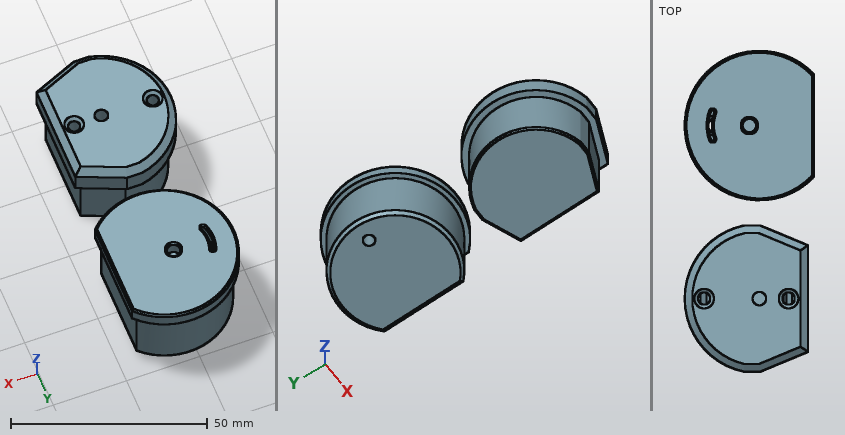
import cadquery as cq
import math

OVERALL_LENGTH = 81.7
OVERALL_WIDTH = 32.9
PIVOT_DIAMETER = 3.4
SMALL_CHAMFER = 0.5

FACETED_RADIUS = 19.05
FACETED_HALF_WIDTH = 18.6
TAPER_START_X = 0.25
TAPER_END_X = 12.4
TAPER_END_HALF_WIDTH = 13.6
FACETED_LID_HEIGHT = 7.4
FACETED_HEIGHT = 24.4
FACETED_RIM_CHAMFER = 2.0
FACETED_OVERHANG = 2.0
SCREW_DIAMETER = 3.1
SCREW_HEAD_DIAMETER = 5.0
REAR_SCREW_X = -14.05
FRONT_SCREW_X = 7.4
TROUGH_LENGTH = 4.1
TROUGH_DEPTH = 1.5
REAR_TROUGH = (-15.0, -13.5, -12.1)
FRONT_TROUGH = (6.1, 6.9, 8.3)

ROUND_DIAMETER = 38.1
ROUND_RADIUS = ROUND_DIAMETER / 2
ROUND_Y = OVERALL_LENGTH - FACETED_HALF_WIDTH - ROUND_RADIUS
ROUND_FLAT_X = OVERALL_WIDTH - ROUND_RADIUS
ROUND_LID_HEIGHT = 4.0
ROUND_HEIGHT = 22.5
ROUND_OVERHANG = 1.5
ROUND_BASE_CHAMFER = 1.0
ROUND_PIVOT_X = -2.5
SLOT_WIDTH = 0.9
SLOT_RADIUS = 10.0
SLOT_HALF_ANGLE = 20.0
BOSS_X = -11.5
BOSS_HOLE_DIAMETER = 3.2
BOSS_TOP_DIAMETER = 3.4
BOSS_FOOT_DIAMETER = 5.0
BOSS_HEIGHT = (BOSS_FOOT_DIAMETER - BOSS_TOP_DIAMETER) / 2
BOSS_POCKET_DIAMETER = 9.4


def cone(x, y, bottom_z, bottom_diameter, top_diameter, height):
    """Truncated cone standing on bottom_z."""
    return (
        cq.Workplane("XY", origin=(x, y, bottom_z))
        .circle(bottom_diameter / 2)
        .workplane(offset=height)
        .circle(top_diameter / 2)
        .loft()
    )


def faceted_outline(top_z):
    """Rear arc, two side flats, two tapers and a front flat."""
    arc_end_x = -math.sqrt(FACETED_RADIUS**2 - FACETED_HALF_WIDTH**2)
    return (
        cq.Workplane("XY", origin=(0, 0, top_z))
        .moveTo(arc_end_x, -FACETED_HALF_WIDTH)
        .lineTo(TAPER_START_X, -FACETED_HALF_WIDTH)
        .lineTo(TAPER_END_X, -TAPER_END_HALF_WIDTH)
        .lineTo(TAPER_END_X, TAPER_END_HALF_WIDTH)
        .lineTo(TAPER_START_X, FACETED_HALF_WIDTH)
        .lineTo(arc_end_x, FACETED_HALF_WIDTH)
        .threePointArc((-FACETED_RADIUS, 0), (arc_end_x, -FACETED_HALF_WIDTH))
        .close()
    )


def v_trough(left_x, valley_x, right_x):
    """Cutter for a V-shaped trough along Y in the top of the faceted base."""
    return (
        cq.Workplane("XZ", origin=(0, 0, -FACETED_LID_HEIGHT))
        .moveTo(left_x, 0)
        .lineTo(valley_x, -TROUGH_DEPTH)
        .lineTo(right_x, 0)
        .close()
        .extrude(TROUGH_LENGTH / 2, both=True)
    )


def screw_hole(x):
    """Cutter for a screw hole through the faceted lid with a 45 degree countersink."""
    countersink_depth = (SCREW_HEAD_DIAMETER - SCREW_DIAMETER) / 2
    bore = cq.Workplane("XY", origin=(x, 0, 0)).circle(SCREW_DIAMETER / 2).extrude(-FACETED_LID_HEIGHT)
    return bore.union(cone(x, 0, -countersink_depth, SCREW_DIAMETER, SCREW_HEAD_DIAMETER, countersink_depth))


def make_faceted_lid():
    lower_rim = faceted_outline(-FACETED_RIM_CHAMFER)
    upper_rim = faceted_outline(0).offset2D(-FACETED_RIM_CHAMFER)
    sloping_rim = cq.Solid.makeLoft([lower_rim.val(), upper_rim.val()], True)
    lid = lower_rim.extrude(FACETED_RIM_CHAMFER - FACETED_LID_HEIGHT).union(sloping_rim)
    pivot = cq.Workplane("XY").circle(PIVOT_DIAMETER / 2).extrude(-FACETED_LID_HEIGHT)
    lid = lid.cut(pivot)
    for screw_x in (REAR_SCREW_X, FRONT_SCREW_X):
        lid = lid.cut(screw_hole(screw_x))
    return lid


def make_faceted_base():
    base = (
        faceted_outline(-FACETED_LID_HEIGHT)
        .offset2D(-FACETED_OVERHANG)
        .extrude(FACETED_LID_HEIGHT - FACETED_HEIGHT)
    )
    base = base.faces("<Z").edges().chamfer(SMALL_CHAMFER)
    for trough in (REAR_TROUGH, FRONT_TROUGH):
        base = base.cut(v_trough(*trough))
    return base


def flatted_disc(top_z, height, inset):
    """Disc with one flat on its +X side, drawn in by inset all round."""
    disc = cq.Workplane("XY", origin=(0, ROUND_Y, top_z)).circle(ROUND_RADIUS - inset).extrude(-height)
    beyond_flat = (
        cq.Workplane("XY", origin=(ROUND_FLAT_X - inset, ROUND_Y, top_z))
        .rect(ROUND_DIAMETER, 2 * ROUND_DIAMETER)
        .extrude(-height)
        .translate((ROUND_RADIUS, 0, 0))
    )
    return disc.cut(beyond_flat)


def slot_cutter():
    """Cutter for a round-ended slot along an arc about the pivot hole."""
    outer = SLOT_RADIUS + SLOT_WIDTH / 2
    inner = SLOT_RADIUS - SLOT_WIDTH / 2
    reach = math.cos(math.radians(SLOT_HALF_ANGLE))
    rise = math.sin(math.radians(SLOT_HALF_ANGLE))
    tip_x = -SLOT_RADIUS * reach + SLOT_WIDTH / 2 * rise
    tip_y = SLOT_RADIUS * rise + SLOT_WIDTH / 2 * reach
    return (
        cq.Workplane("XY", origin=(ROUND_PIVOT_X, ROUND_Y, 0))
        .moveTo(-outer * reach, -outer * rise)
        .threePointArc((-outer, 0), (-outer * reach, outer * rise))
        .threePointArc((tip_x, tip_y), (-inner * reach, inner * rise))
        .threePointArc((-inner, 0), (-inner * reach, -inner * rise))
        .threePointArc((tip_x, -tip_y), (-outer * reach, -outer * rise))
        .close()
        .extrude(-ROUND_LID_HEIGHT)
    )


def make_round_lid():
    lid = flatted_disc(0, ROUND_LID_HEIGHT, 0)
    pivot = (
        cq.Workplane("XY", origin=(ROUND_PIVOT_X, ROUND_Y, 0))
        .circle(PIVOT_DIAMETER / 2)
        .extrude(-ROUND_LID_HEIGHT)
    )
    lid = lid.cut(pivot).cut(slot_cutter())
    return lid.faces(">Z").edges().chamfer(SMALL_CHAMFER)


def make_round_base():
    base = flatted_disc(-ROUND_LID_HEIGHT, ROUND_HEIGHT - ROUND_LID_HEIGHT, ROUND_OVERHANG)
    base = base.faces("<Z").edges().chamfer(ROUND_BASE_CHAMFER)
    pocket_floor = -ROUND_LID_HEIGHT - BOSS_HEIGHT
    pocket = cone(BOSS_X, ROUND_Y, pocket_floor, BOSS_POCKET_DIAMETER, BOSS_POCKET_DIAMETER, BOSS_HEIGHT)
    boss = cone(BOSS_X, ROUND_Y, pocket_floor, BOSS_FOOT_DIAMETER, BOSS_TOP_DIAMETER, BOSS_HEIGHT)
    hole = (
        cq.Workplane("XY", origin=(BOSS_X, ROUND_Y, -ROUND_HEIGHT))
        .circle(BOSS_HOLE_DIAMETER / 2)
        .extrude(ROUND_HEIGHT)
    )
    return base.cut(pocket.cut(boss)).cut(hole)


faceted_lid = make_faceted_lid()
faceted_base = make_faceted_base()
round_lid = make_round_lid()
round_base = make_round_base()

result = cq.Compound.makeCompound(
    [faceted_lid.val(), faceted_base.val(), round_lid.val(), round_base.val()]
)